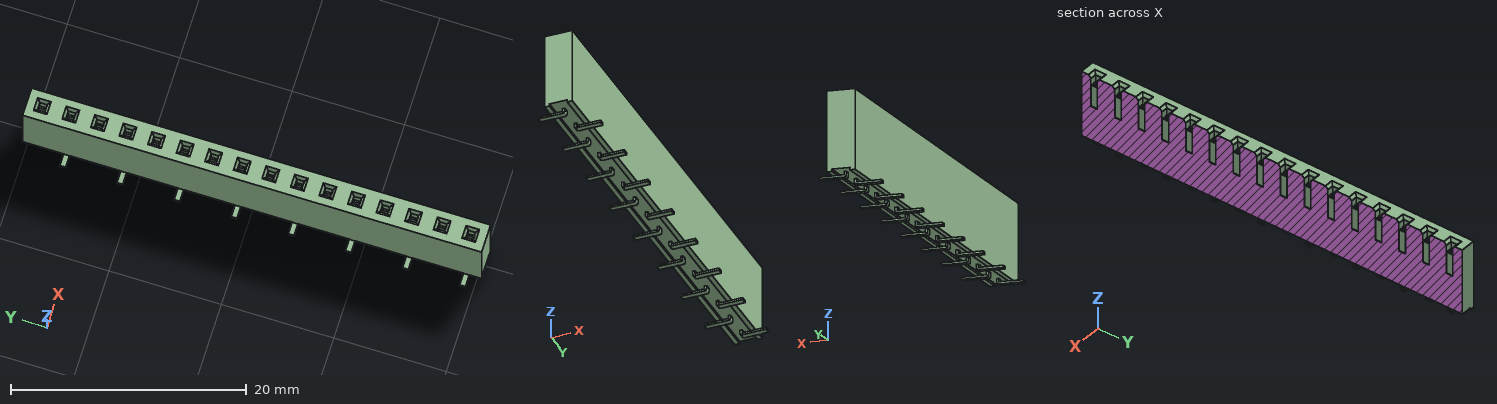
import cadquery as cq

contact_count = 16
end_allowance = 0.102
body_length = 40.85
body_width = 2.57
pitch = (body_length - 2 * end_allowance) / contact_count
total_height = 7.4
lead_span = 4.65

lead_thickness = 0.2
lead_width = 0.55
bend_radius = lead_thickness

standoff = 0.3
channel_width = 1.65
channel_depth = 0.2
channel_roof = standoff + channel_depth

mouth_size = 1.2
shaft_size = 0.65
funnel_depth = 0.3
shaft_depth = 3.25
shaft_floor = total_height - shaft_depth

beam_width = shaft_size
beam_thickness = 0.15
beam_gap = 0.2
beam_recess = 1.02
beam_top = total_height - beam_recess
embed = 0.2


def box_on(x, y, z, width, length, height):
    """Box centred on (x, y) whose bottom face is at z."""
    blank = cq.Workplane("XY").box(width, length, height, centered=(True, True, False))
    return blank.translate((x, y, z))


def make_body():
    """Housing block standing off the board, with the underside channel removed."""
    block = box_on(0, 0, standoff, body_width, body_length, total_height - standoff)
    channel = box_on(0, 0, standoff, channel_width, body_length, channel_depth)
    return block.cut(channel)


def make_socket(y):
    """Square shaft with a tapered lead-in at the top face."""
    shaft = box_on(0, y, shaft_floor, shaft_size, shaft_size, shaft_depth)
    funnel = (
        cq.Workplane("XY", origin=(0, y, total_height))
        .rect(mouth_size, mouth_size)
        .workplane(offset=-funnel_depth)
        .rect(shaft_size, shaft_size)
        .loft(ruled=True)
    )
    return shaft.union(funnel)


def make_beam(y, side):
    """One upright contact beam on the +X (side = 1) or -X (side = -1) half of a socket."""
    x = side * (beam_gap + beam_thickness) / 2
    base = shaft_floor - embed
    return box_on(x, y, base, beam_thickness, beam_width, beam_top - base)


def make_lead(y, side):
    """L-shaped lead: a stem down from the body, bent outwards to a flat foot on side +1 or -1."""
    back = -side * lead_thickness / 2
    front = -back
    tip = side * lead_span / 2
    stem_top = channel_roof + embed
    outline = (
        cq.Workplane("XZ", origin=(0, y + lead_width / 2, 0))
        .moveTo(back, stem_top)
        .lineTo(back, bend_radius)
        .radiusArc((back + side * bend_radius, 0), -side * bend_radius)
        .lineTo(tip, 0)
        .lineTo(tip, lead_thickness)
        .lineTo(front, lead_thickness)
        .lineTo(front, stem_top)
        .close()
    )
    return outline.extrude(lead_width)


result = make_body()
for index in range(contact_count):
    contact_y = (index - (contact_count - 1) / 2) * pitch
    lead_side = -1 if index % 2 == 0 else 1
    result = result.cut(make_socket(contact_y))
    result = result.union(make_lead(contact_y, lead_side))
    for beam_side in (-1, 1):
        result = result.union(make_beam(contact_y, beam_side))